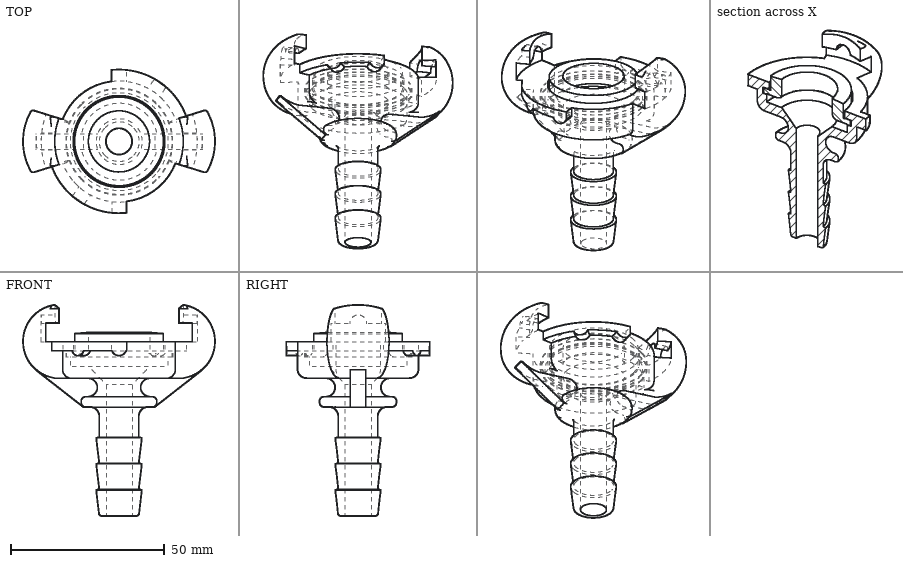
import cadquery as cq
import math


hub_radius = 19.8
hub_height = 12.0
hub_fillet = 3.0
lug_radius = 23.5
lug_thickness = 3.0
bump_radius = 2.5
bump_depth = 4.6
bump_angle = 35.0

neck_groove_radius = 3.0
neck_radius = 7.5
collar_radius = 12.6
collar_thickness = 3.4
collar_fillet = 1.5
tail_radius = 13.0 / 2
tail_fillet = 3.0
barb_radius = 7.5
barb_pitch = 8.5
barb_count = 3
barb_shoulder = 0.3
tail_end_fillet = 1.0
tail_end = -57.0
bore_radius = 8.5 / 2

claw_reach = 31.4
claw_section_radius = 12.15
claw_plan_radius = 20.0
claw_root = 14.0
claw_half_width_at_axis = 1.5
claw_flare = 0.31
claw_edge_fillet = 1.0
claw_top = 12.0
claw_crown_radius = 25.0
claw_slot_radius = 25.5
claw_slot_height = 6.0
claw_lip_radius = 21.0
claw_notch_radius = 2.75

web_thickness = 5.0
web_foot = 11.7
web_tip = 27.2
web_tip_z = -9.3

mouth_radius = 30.0 / 2
groove_radius = 35.0 / 2
groove_top = -3.0
groove_bottom = -5.0
chamber_radius = 16.0
seat_floor = -8.0
funnel_radius = 20.0 / 2
funnel_depth = 6.0

seal_bore_radius = 20.0 / 2
seal_neck_radius = 29.0 / 2
seal_flange_radius = 34.5 / 2
seal_top = 3.0
seal_rim = 2.6
seal_bore_fillet = 2.0

collar_top = -hub_height - 2 * neck_groove_radius
collar_bottom = collar_top - collar_thickness
cut_margin = 1.0
diagonal = math.sqrt(0.5)


def turned_body():
    """Hub, neck, collar and barbed tail as one solid of revolution."""
    groove_centre = neck_radius + neck_groove_radius
    tail_fillet_centre = tail_radius + tail_fillet
    tail_fillet_inset = tail_fillet * (1 - diagonal)
    profile = (
        cq.Workplane("XZ")
        .lineTo(hub_radius, 0)
        .lineTo(hub_radius, -hub_height)
        .lineTo(groove_centre, -hub_height)
        .threePointArc((neck_radius, -hub_height - neck_groove_radius), (groove_centre, collar_top))
        .lineTo(collar_radius, collar_top)
        .lineTo(collar_radius, collar_bottom)
        .lineTo(tail_fillet_centre, collar_bottom)
        .threePointArc(
            (tail_radius + tail_fillet_inset, collar_bottom - tail_fillet_inset),
            (tail_radius, collar_bottom - tail_fillet),
        )
    )
    for barb in range(barb_count):
        crest = tail_end + (barb_count - barb) * barb_pitch
        profile = profile.lineTo(tail_radius, crest + barb_shoulder).lineTo(barb_radius, crest)
    profile = profile.lineTo(tail_radius, tail_end).lineTo(0, tail_end).close()
    body = profile.revolve(360, (0, 0, 0), (0, 1, 0))
    body = fillet_rim(body, hub_radius, -hub_height, hub_fillet)
    body = fillet_rim(body, collar_radius, collar_top, collar_fillet)
    body = fillet_rim(body, collar_radius, collar_bottom, collar_fillet)
    return fillet_rim(body, tail_radius, tail_end, tail_end_fillet)


def fillet_rim(body, radius, level, size):
    """Round the circular edge of the given radius at the given level."""
    margin = 0.05
    outer = radius + margin
    selector = cq.selectors.BoxSelector(
        (-outer, -outer, level - margin), (outer, outer, level + margin), boundingbox=True
    )
    rims = body.edges(selector).edges("%CIRCLE")
    rim = max(rims.vals(), key=lambda edge: edge.radius())
    return body.newObject([rim]).fillet(size)


def bump():
    """Round-bottomed bar along -Y whose underside stands below the lug."""
    centre = bump_radius - bump_depth
    return (
        cq.Workplane("XZ")
        .moveTo(-bump_radius, 0)
        .lineTo(-bump_radius, centre)
        .threePointArc((0, -bump_depth), (bump_radius, centre))
        .lineTo(bump_radius, 0)
        .close()
        .extrude(lug_radius)
    )


def lug_plate(depth):
    """Slice of a disc, from the -X axis round to just past the -Y axis."""
    end_y = -math.sqrt(lug_radius**2 - bump_radius**2)
    return (
        cq.Workplane("XY")
        .lineTo(-lug_radius, 0)
        .threePointArc((-lug_radius * diagonal, -lug_radius * diagonal), (bump_radius, end_y))
        .lineTo(bump_radius, 0)
        .close()
        .extrude(-depth)
    )


def lug():
    """Locking lug: a plate with a bump at its end and another part-way round."""
    side_bump = bump().rotate((0, 0, 0), (0, 0, 1), -bump_angle)
    bumps = bump().union(side_bump).intersect(lug_plate(bump_depth))
    return lug_plate(lug_thickness).union(bumps).clean()


def claw():
    """Hooked claw on the +X side."""
    pivot = claw_reach - claw_plan_radius
    ring_radius = claw_plan_radius - claw_section_radius
    end_height = math.sqrt(claw_section_radius**2 - ring_radius**2)
    rounded = (
        cq.Workplane("XZ", origin=(pivot, 0, 0))
        .moveTo(0, -end_height)
        .threePointArc((claw_plan_radius, 0), (0, end_height))
        .close()
        .revolve(360, (0, 0, 0), (0, 1, 0))
    )
    root_width = claw_half_width_at_axis + claw_flare * claw_root
    outer_end = claw_reach + cut_margin
    end_width = claw_half_width_at_axis + claw_flare * outer_end
    wedge = (
        cq.Workplane("XY")
        .polyline([
            (claw_root, -root_width),
            (outer_end, -end_width),
            (outer_end, end_width),
            (claw_root, root_width),
        ])
        .close()
        .extrude(claw_section_radius + cut_margin, both=True)
    )
    hook = rounded.intersect(wedge)
    side_edges = [
        edge
        for side in (hook.faces("<Y"), hook.faces(">Y"))
        for edge in side.edges().vals()
        if edge.geomType() != "LINE"
    ]
    hook = hook.newObject(side_edges).fillet(claw_edge_fillet)
    crown_side = claw_top - claw_crown_radius + math.sqrt(claw_crown_radius**2 - end_width**2)
    crown = (
        cq.Workplane("YZ")
        .moveTo(-end_width, -hub_height)
        .lineTo(-end_width, crown_side)
        .threePointArc((0, claw_top), (end_width, crown_side))
        .lineTo(end_width, -hub_height)
        .close()
        .extrude(outer_end)
    )
    slot = cq.Workplane("XY").circle(claw_slot_radius).extrude(claw_slot_height)
    throat = cq.Workplane("XY").circle(claw_lip_radius).extrude(claw_section_radius + cut_margin)
    notch_limit = cq.Workplane("XY").circle(claw_slot_radius).extrude(claw_section_radius)
    notch = (
        cq.Workplane("YZ")
        .center(0, claw_slot_height)
        .circle(claw_notch_radius)
        .extrude(claw_slot_radius)
    )
    return hook.intersect(crown).cut(slot).cut(throat).cut(notch.intersect(notch_limit))


def web():
    """Flat rib from the collar up to the claw on the +X side."""
    return (
        cq.Workplane("XZ")
        .moveTo(0, collar_bottom)
        .lineTo(web_foot, collar_bottom)
        .lineTo(web_tip, web_tip_z)
        .lineTo(hub_radius, web_tip_z)
        .lineTo(0, -hub_height)
        .close()
        .extrude(web_thickness / 2, both=True)
    )


def seal_seat():
    """Mouth, groove, funnel and through bore that hollow the body."""
    return (
        cq.Workplane("XZ")
        .lineTo(mouth_radius, 0)
        .lineTo(mouth_radius, groove_top)
        .lineTo(groove_radius, groove_top)
        .lineTo(groove_radius, groove_bottom)
        .lineTo(chamber_radius, groove_bottom)
        .lineTo(chamber_radius, seat_floor)
        .lineTo(funnel_radius, seat_floor)
        .lineTo(bore_radius, seat_floor - funnel_depth)
        .lineTo(bore_radius, tail_end)
        .lineTo(0, tail_end)
        .close()
        .revolve(360, (0, 0, 0), (0, 1, 0))
    )


def make_coupling():
    """Turned body with two lugs, two claws and two webs, half a turn apart."""
    body = turned_body()
    for angle in (0, 180):
        for feature in (lug(), claw(), web()):
            body = body.union(feature.rotate((0, 0, 0), (0, 0, 1), angle))
    return body.cut(seal_seat())


def make_seal():
    """Flanged rubber ring, its bore rounded off at the lower end."""
    ring = (
        cq.Workplane("XZ")
        .moveTo(seal_bore_radius, seal_top)
        .lineTo(seal_neck_radius, seal_rim)
        .lineTo(seal_neck_radius, groove_top)
        .lineTo(seal_flange_radius, groove_top)
        .lineTo(seal_flange_radius, groove_bottom)
        .lineTo(seal_bore_radius, groove_bottom)
        .close()
        .revolve(360, (0, 0, 0), (0, 1, 0))
    )
    bore_end = ring.faces("<Z").edges(cq.selectors.RadiusNthSelector(0))
    return bore_end.fillet(seal_bore_fillet)


coupling = make_coupling()
seal = make_seal()
result = cq.Compound.makeCompound([coupling.val(), seal.val()])